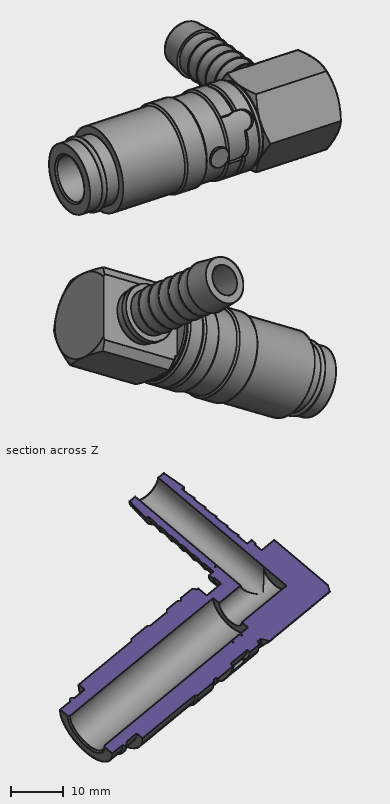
import cadquery as cq
import math


across_flats = 17.0
hex_length = 17.6
hex_sides = 6
flat_radius = across_flats / 2
hex_corner_radius = flat_radius / math.cos(math.pi / hex_sides)
corner_chamfer_angle = math.radians(30)
corner_chamfer_length = (hex_corner_radius - flat_radius) * math.tan(corner_chamfer_angle)
flat_offset = 6.0
flat_length = 18.0

total_length = 56
neck_radius = 8.3
barrel_radius = 8.6
ring_radius = 9.0
ring_chamfer = ring_radius - barrel_radius
rings = [(18.5, 22.25), (22.35, 26.05), (30.45, 35.5)]
barrel_end = 49.5
nozzle_radius = 7.05
bead_height = 0.45
bead_width = 1.05
bead_center = 52.75

pin_radius = 2.1
pin_center = 27.8
slot_end = rings[1][1] - ring_chamfer
entry_round_center = 23.35
track_start = entry_round_center - pin_radius
seat_angle = 37
seat_rear_center = 21.2
seat_front_center = 22.3
track_end_angle = 48.6

hose_axis = 8.8
hose_reach = 31.5
stem_radius = 4.55
tip_radius = 4.6
tip_barb_radius = 5.1
tip_barb_length = 5.05
barb_radius = 4.75
barb_length = 1.5
barb_count = 5
barb_pitch = 2.95
first_barb_end = 8.1
collar_start = 22.5
collar_end = 23.7
collar_radius = 5.7
stem_root_radius = 5.45

passage_radius = 3.0
nozzle_bore_radius = 4.65
nozzle_bore_chamfer = 0.35

cut_margin = 2.8


def turned(points):
    """Revolve (radius, distance) points about the coupling axis."""
    outline = [(radius, -distance) for radius, distance in points]
    return cq.Workplane("XY").polyline(outline).close().revolve(360, (0, 0), (0, 1))


def radial_plane(angle, distance):
    """Plane on the coupling axis facing outwards, turned from +X towards +Z."""
    turn = math.radians(angle)
    outward = (math.cos(turn), 0, math.sin(turn))
    return cq.Workplane(cq.Plane(origin=(0, -distance, 0), xDir=(0, -1, 0), normal=outward))


def radial_slot(angle, first_center, last_center, reach):
    """Pin-wide slot along the coupling axis, cut outwards from it."""
    travel = last_center - first_center
    middle = (first_center + last_center) / 2
    return (
        radial_plane(angle, middle)
        .slot2D(travel + 2 * pin_radius, 2 * pin_radius)
        .extrude(reach)
    )


def hex_body():
    prism = (
        cq.Workplane("XZ")
        .polygon(hex_sides, 2 * hex_corner_radius)
        .extrude(hex_length)
    )
    corner_cone = turned([
        (0, 0),
        (flat_radius, 0),
        (hex_corner_radius, corner_chamfer_length),
        (hex_corner_radius, hex_length - corner_chamfer_length),
        (flat_radius, hex_length),
        (0, hex_length),
    ])
    return prism.intersect(corner_cone)


def hose_side_flat():
    """Material beyond the hose-side flat, on the hexagon and the start of the neck."""
    removed_depth = hex_corner_radius - flat_offset + cut_margin
    return (
        cq.Workplane("XY")
        .box(removed_depth, flat_length, 2 * ring_radius, centered=(False, False, True))
        .translate((-flat_offset - removed_depth, -flat_length, 0))
    )


def barrel():
    points = [(0, hex_length), (neck_radius, hex_length), (neck_radius, rings[0][0])]
    for start, end in rings:
        points += [
            (barrel_radius, start),
            (ring_radius, start + ring_chamfer),
            (ring_radius, end - ring_chamfer),
            (barrel_radius, end),
        ]
    points += [
        (barrel_radius, barrel_end),
        (nozzle_radius, barrel_end),
        (nozzle_radius, total_length),
        (0, total_length),
    ]
    return turned(points)


def nozzle_bead():
    half_width = bead_width / 2
    return (
        cq.Workplane("XY")
        .moveTo(0, -bead_center + half_width)
        .lineTo(nozzle_radius, -bead_center + half_width)
        .threePointArc(
            (nozzle_radius + bead_height, -bead_center),
            (nozzle_radius, -bead_center - half_width),
        )
        .lineTo(0, -bead_center - half_width)
        .close()
        .revolve(360, (0, 0), (0, 1))
    )


def bayonet_slot():
    """Entry run above the pin, sideways track, then the locked seat."""
    reach = ring_radius + cut_margin
    entry = radial_slot(0, entry_round_center, slot_end, reach)
    seat = radial_slot(seat_angle, seat_rear_center, seat_front_center, reach)
    track = (
        cq.Workplane("XY")
        .moveTo(0, -track_start)
        .lineTo(reach, -track_start)
        .lineTo(reach, -slot_end)
        .lineTo(0, -slot_end)
        .close()
        .revolve(track_end_angle, (0, 0), (0, -1))
    )
    wall_zone = (
        cq.Workplane("XZ")
        .circle(reach)
        .circle(neck_radius)
        .extrude(slot_end)
    )
    return entry.union(track).union(seat).intersect(wall_zone)


def bayonet_pin():
    return radial_plane(0, pin_center).circle(pin_radius).extrude(ring_radius)


def hose_stem():
    points = [
        (0, 0),
        (0, tip_radius),
        (tip_barb_length, tip_barb_radius),
        (tip_barb_length, stem_radius),
    ]
    for index in range(barb_count):
        barb_end = first_barb_end + index * barb_pitch
        points += [
            (barb_end - barb_length, stem_radius),
            (barb_end, barb_radius),
            (barb_end, stem_radius),
        ]
    points += [
        (collar_start, stem_radius),
        (collar_start, collar_radius),
        (collar_end, collar_radius),
        (collar_end, stem_root_radius),
        (hose_reach, stem_root_radius),
        (hose_reach, 0),
    ]
    return (
        cq.Workplane("XY")
        .polyline(points)
        .close()
        .revolve(360, (0, 0), (1, 0))
        .translate((-hose_reach, -hose_axis, 0))
    )


def flow_passage():
    """Stepped coupling bore meeting the hose bore inside the hexagon."""
    coupling_bore = turned([
        (0, hose_axis - passage_radius),
        (passage_radius, hose_axis - passage_radius),
        (passage_radius, hex_length),
        (nozzle_bore_radius, hex_length),
        (nozzle_bore_radius, total_length - nozzle_bore_chamfer),
        (nozzle_bore_radius + nozzle_bore_chamfer, total_length),
        (0, total_length),
    ])
    hose_bore = (
        cq.Workplane("YZ", origin=(-hose_reach, 0, 0))
        .center(-hose_axis, 0)
        .circle(passage_radius)
        .extrude(hose_reach)
    )
    return coupling_bore.union(hose_bore)


coupling = barrel().union(nozzle_bead()).cut(bayonet_slot()).union(bayonet_pin())
elbow = hex_body().union(coupling).cut(hose_side_flat())
result = elbow.union(hose_stem()).cut(flow_passage())